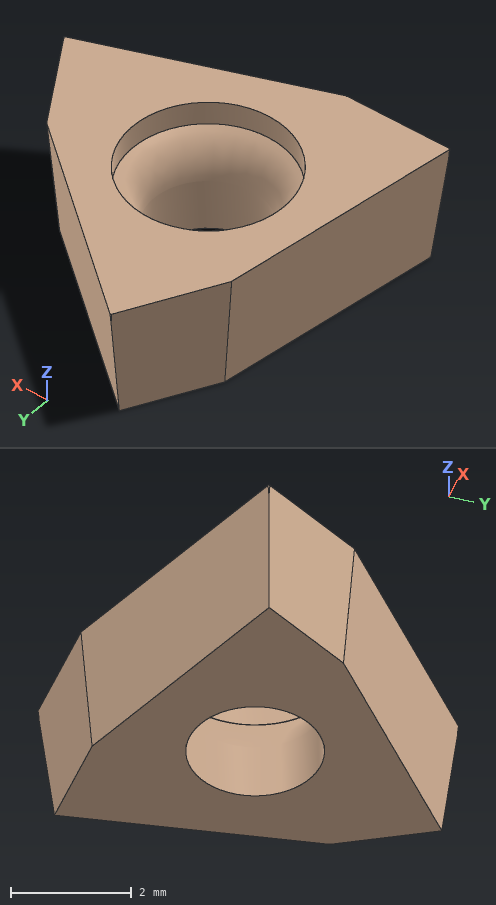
import cadquery as cq
import math

thickness = 2.38
long_side_distance = 2.375
short_side_distance = 2.795
side_break_angle = 20
relief_angle = 5
corner_count = 3
nose_radius = 0.02
nose_tip_radius = 0.001

mouth_diameter = 3.21
bore_diameter = 2.295
mouth_depth = 0.475
seat_depth = 0.865

corner_turn = 360 / corner_count


def side_crossing(first, second):
    """Crossing point of two sides, each given as (outward normal angle, distance from axis)."""
    angle_1, distance_1 = math.radians(first[0]), first[1]
    angle_2, distance_2 = math.radians(second[0]), second[1]
    spread = math.sin(angle_2 - angle_1)
    x = (distance_1 * math.sin(angle_2) - distance_2 * math.sin(angle_1)) / spread
    y = (distance_2 * math.cos(angle_1) - distance_1 * math.cos(angle_2)) / spread
    return x, y


def outline(inset):
    """Corner points of the insert with every side moved inward by inset."""
    sides = []
    for corner in range(corner_count):
        short_angle = -90 + corner * corner_turn
        sides.append((short_angle, short_side_distance - inset))
        sides.append((short_angle + side_break_angle, long_side_distance - inset))
    return [side_crossing(sides[i - 1], sides[i]) for i in range(len(sides))]


def insert_body():
    bottom_inset = thickness * math.tan(math.radians(relief_angle))
    return (
        cq.Workplane("XY")
        .polyline(outline(bottom_inset)).close()
        .workplane(offset=thickness)
        .polyline(outline(0)).close()
        .loft(ruled=True, combine=True)
    )


def nose_trims():
    """Slivers outside the nose cones, which fade to a nearly sharp edge below the top face."""
    nose_height = nose_radius / math.tan(math.radians(relief_angle))
    nose_bottom = thickness - nose_height
    sector_reach = 4 * nose_radius
    trims = cq.Workplane("XY")
    nose_centers = outline(nose_radius)[::2]
    for corner, (x, y) in enumerate(nose_centers):
        short_angle = -90 + corner * corner_turn
        long_angle = short_angle + side_break_angle - corner_turn
        sector = [(x, y)]
        for angle in (long_angle, (long_angle + short_angle) / 2, short_angle):
            direction = math.radians(angle)
            sector.append((x + sector_reach * math.cos(direction), y + sector_reach * math.sin(direction)))
        cone = cq.Solid.makeCone(nose_tip_radius, nose_radius, nose_height, cq.Vector(x, y, nose_bottom))
        trim = cq.Workplane("XY").workplane(offset=nose_bottom).polyline(sector).close().extrude(nose_height)
        trims = trims.add(trim.cut(cq.Workplane(obj=cone)))
    return trims.combine()


def screw_hole():
    """Straight mouth, convex seat rounding into the bore, and the through bore."""
    mouth_radius = mouth_diameter / 2
    bore_radius = bore_diameter / 2
    seat_top = thickness - mouth_depth
    seat_bottom = seat_top - seat_depth
    seat_width = mouth_radius - bore_radius
    seat_radius = (seat_width**2 + seat_depth**2) / (2 * seat_width)
    half_sweep = math.asin(seat_depth / seat_radius) / 2
    seat_middle = (
        bore_radius + seat_radius * (1 - math.cos(half_sweep)),
        seat_bottom + seat_radius * math.sin(half_sweep),
    )
    return (
        cq.Workplane("XZ")
        .moveTo(0, 0)
        .lineTo(bore_radius, 0)
        .lineTo(bore_radius, seat_bottom)
        .threePointArc(seat_middle, (mouth_radius, seat_top))
        .lineTo(mouth_radius, thickness)
        .lineTo(0, thickness)
        .close()
        .revolve(360, (0, 0, 0), (0, 1, 0))
    )


result = insert_body().cut(nose_trims()).cut(screw_hole())